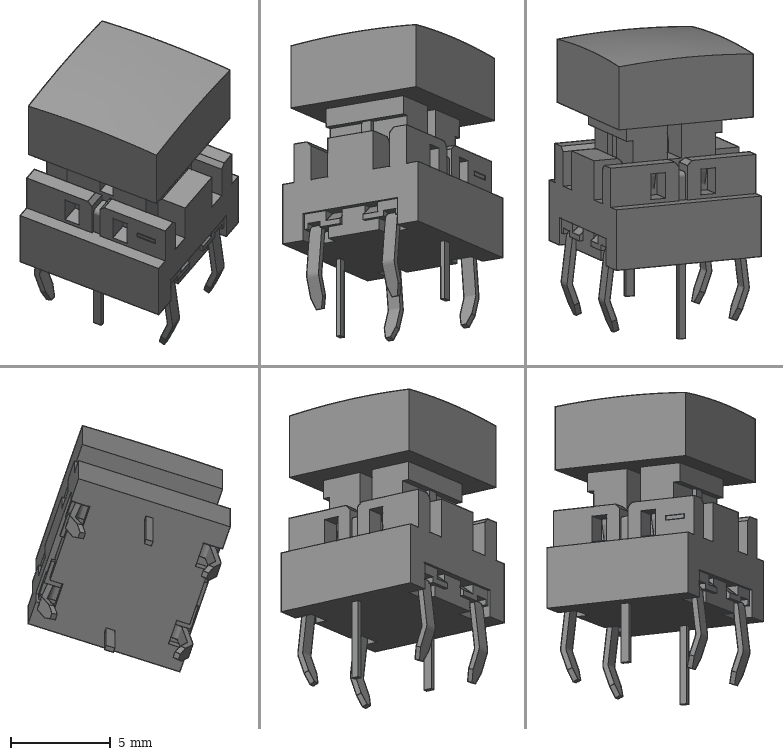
import cadquery as cq
import math

BASE_SIZE = 8.0
BASE_HALF = BASE_SIZE / 2
SEAM_Z = 1.4
DECK_Z = 3.1

WALL_TOP_Z = 5.1
WALL_INNER_Y = 2.33
WALL_OUTER_Y = 3.335
GUIDE_CHAMFER = 0.24
POST_WIDTH = 2.68
POST_INNER_X = 2.42

WINDOW_WIDTH = 0.82
WINDOW_CENTER_X = 1.38
WINDOW_BOTTOM_Z = 3.3
WINDOW_TOP_Z = 4.61
HOOK_WIDTH = 0.57
HOOK_CENTER_X = 1.405
HOOK_BOTTOM_Z = 3.6
HOOK_SHOULDER_Z = 4.31
HOOK_REACH = 0.19
BAR_LENGTH = 1.04
BAR_HEIGHT = 0.22
BAR_CENTER_X = 2.89
BAR_CENTER_Z = 4.11
BAR_DEPTH = 0.05

STEM_SIZE_X = 4.54
STEM_SIZE_Y = 4.56
STEM_COLLAR_SIZE_X = 5.27
STEM_COLLAR_Z = 6.15
STEM_RIB_SPAN = 4.98
STEM_RIB_WIDTH = 0.56
STEM_SLOT_WIDTH = 0.76
STEM_SLOT_FLOOR_Z = 5.03

CAP_SIZE = 7.4
CAP_HALF = CAP_SIZE / 2
CAP_BOTTOM_Z = 7.1
CAP_TOP_Z = 10.65
DOME_RISE = 0.16
DOME_RADIUS = (CAP_HALF ** 2 + DOME_RISE ** 2) / (2 * DOME_RISE)

LED_RADIUS = 1.7 / 2
LED_SPRING_Z = 5.51

LEAD_SLOT_WIDTH = 0.46
LEAD_OUTER_Y = 3.21
LEAD_THICKNESS = 0.24
LEAD_TOP_Z = 4.5
LEAD_UNDER_Z = LEAD_TOP_Z - LEAD_THICKNESS
FRONT_LEAD_WIDTH = 0.46
FRONT_LEAD_END_Z = -3.0
REAR_LEAD_WIDTH = 0.38
REAR_LEAD_END_Z = -4.0

RECESS_WIDTH = 5.56
PLATE_X = 3.87
PLATE_BOTTOM_Z = 0.6
LUG_X = 3.68
LUG_FOOT_WIDTH = 2.98
LUG_NECK_WIDTH = 1.36
CORNER_INNER_X = 3.0
RAMP_END_Y = 1.52
RAMP_BOTTOM_Z = 0.88
RAMP_DEPTH = 0.65

PIN_WIDTH = 0.71
PIN_CENTER_Y = 2.235
PIN_THICKNESS = 0.3
PIN_ROOT_X = 2.8
PIN_TOP_Z = 0.89
PIN_KNEE_X = BASE_HALF
PIN_KNEE_Z = -1.88
PIN_SPLAY = math.radians(7.2)
PIN_RETURN = math.radians(20.5)
PIN_END_Z = -3.52
PIN_TAPER_LENGTH = 0.62
PIN_TIP_WIDTH = 0.3
SHOULDER_BEND_RADIUS = 0.53
KNEE_BEND_RADIUS = 0.5


def block(x0, x1, y0, y1, z0, z1):
    """Axis-aligned box between two opposite corners."""
    box = cq.Workplane("XY").box(x1 - x0, y1 - y0, z1 - z0, centered=False)
    return box.translate((x0, y0, z0))


def centered_block(size_x, size_y, z0, z1):
    """Box centred on the Z axis."""
    return block(-size_x / 2, size_x / 2, -size_y / 2, size_y / 2, z0, z1)


def both_x(shape):
    """The shape together with its mirror image across the YZ plane."""
    return shape.union(shape.mirror("YZ"))


def both_y(shape):
    """The shape together with its mirror image across the XZ plane."""
    return shape.union(shape.mirror("XZ"))


def yz_prism(points, width):
    """Prism with a (y, z) outline, centred on x = 0."""
    return cq.Workplane("YZ").polyline(points).close().extrude(width / 2, both=True)


def xz_prism(points, width):
    """Prism with an (x, z) outline, centred on y = 0."""
    return cq.Workplane("XZ").polyline(points).close().extrude(width / 2, both=True)


def make_front_wall():
    wall = block(-BASE_HALF, BASE_HALF, -WALL_OUTER_Y, -WALL_INNER_Y, DECK_Z, WALL_TOP_Z)
    wall = wall.edges(">Y and >Z").chamfer(GUIDE_CHAMFER)

    half_slot = LEAD_SLOT_WIDTH / 2
    half_mouth = half_slot + GUIDE_CHAMFER
    mouth_z = WALL_TOP_Z - GUIDE_CHAMFER
    slot = xz_prism(
        [
            (-half_slot, DECK_Z),
            (half_slot, DECK_Z),
            (half_slot, mouth_z),
            (half_mouth, WALL_TOP_Z),
            (-half_mouth, WALL_TOP_Z),
            (-half_slot, mouth_z),
        ],
        BASE_SIZE,
    )
    window = block(
        WINDOW_CENTER_X - WINDOW_WIDTH / 2,
        WINDOW_CENTER_X + WINDOW_WIDTH / 2,
        -WALL_OUTER_Y,
        -WALL_INNER_Y,
        WINDOW_BOTTOM_Z,
        WINDOW_TOP_Z,
    )
    return wall.cut(slot).cut(both_x(window))


def make_polarity_bar():
    """Shallow groove in the front wall."""
    return block(
        BAR_CENTER_X - BAR_LENGTH / 2,
        BAR_CENTER_X + BAR_LENGTH / 2,
        -WALL_OUTER_Y,
        -WALL_OUTER_Y + BAR_DEPTH,
        BAR_CENTER_Z - BAR_HEIGHT / 2,
        BAR_CENTER_Z + BAR_HEIGHT / 2,
    )


def make_side_post():
    post = block(-BASE_HALF, -POST_INNER_X, -POST_WIDTH / 2, POST_WIDTH / 2, DECK_Z, WALL_TOP_Z)
    return post.edges(">X and >Z").chamfer(GUIDE_CHAMFER)


def make_base_plate():
    plate = centered_block(BASE_SIZE, BASE_SIZE, 0, SEAM_Z)
    half_recess = RECESS_WIDTH / 2
    recess = block(-BASE_HALF, -PLATE_X, -half_recess, half_recess, 0, SEAM_Z)

    corners = block(-BASE_HALF, -CORNER_INNER_X, -half_recess, half_recess, 0, PLATE_BOTTOM_Z)
    foot = block(-LUG_X, -CORNER_INNER_X, -LUG_FOOT_WIDTH / 2, LUG_FOOT_WIDTH / 2, 0, PLATE_BOTTOM_Z)
    neck = block(-BASE_HALF, -LUG_X, -LUG_NECK_WIDTH / 2, LUG_NECK_WIDTH / 2, 0, SEAM_Z)

    ramp_width = RAMP_END_Y - LUG_NECK_WIDTH / 2
    ramp = xz_prism(
        [(-PLATE_X, RAMP_BOTTOM_Z), (-PLATE_X, SEAM_Z), (RAMP_DEPTH - PLATE_X, SEAM_Z)],
        ramp_width,
    ).translate((0, RAMP_END_Y - ramp_width / 2, 0))

    pin_slot = block(
        -PLATE_X,
        -CORNER_INNER_X,
        PIN_CENTER_Y - PIN_WIDTH / 2,
        PIN_CENTER_Y + PIN_WIDTH / 2,
        PLATE_BOTTOM_Z,
        PIN_TOP_Z,
    )
    side_cut = recess.union(corners.cut(foot)).union(neck).union(both_y(ramp.union(pin_slot)))
    return plate.cut(both_x(side_cut))


def make_stem():
    stem = centered_block(STEM_SIZE_X, STEM_SIZE_Y, DECK_Z, STEM_COLLAR_Z)
    collar = centered_block(STEM_COLLAR_SIZE_X, STEM_SIZE_Y, STEM_COLLAR_Z, CAP_BOTTOM_Z)
    ribs = centered_block(STEM_RIB_SPAN, STEM_RIB_WIDTH, DECK_Z, STEM_COLLAR_Z)
    slot = centered_block(STEM_SLOT_WIDTH, STEM_SIZE_Y, STEM_SLOT_FLOOR_Z, CAP_BOTTOM_Z)

    face_y = -STEM_SIZE_Y / 2
    hook = yz_prism(
        [
            (face_y, HOOK_BOTTOM_Z),
            (face_y - HOOK_REACH, HOOK_SHOULDER_Z),
            (face_y - HOOK_REACH, WINDOW_TOP_Z),
            (face_y, WINDOW_TOP_Z),
        ],
        HOOK_WIDTH,
    ).translate((HOOK_CENTER_X, 0, 0))
    return stem.union(collar).union(ribs).cut(slot).union(both_y(both_x(hook)))


def make_cap():
    cap = centered_block(CAP_SIZE, CAP_SIZE, CAP_BOTTOM_Z, CAP_TOP_Z)
    dome = cq.Workplane("XY").sphere(DOME_RADIUS).translate((0, 0, CAP_TOP_Z - DOME_RADIUS))
    return cap.intersect(dome)


def make_led():
    """Domed LED standing on the floor of the stem slot."""
    body = cq.Workplane("XY").workplane(offset=STEM_SLOT_FLOOR_Z).circle(LED_RADIUS)
    body = body.extrude(LED_SPRING_Z - STEM_SLOT_FLOOR_Z)
    dome = cq.Workplane("XY").sphere(LED_RADIUS).translate((0, 0, LED_SPRING_Z))
    return body.union(dome)


def make_front_lead(width, end_z):
    """Flat lead that leaves the stem, bends over and runs straight down."""
    inner_y = LEAD_THICKNESS - LEAD_OUTER_Y
    stem_y = -STEM_SIZE_Y / 2
    lead = yz_prism(
        [
            (stem_y, LEAD_TOP_Z),
            (-LEAD_OUTER_Y, LEAD_TOP_Z),
            (-LEAD_OUTER_Y, end_z),
            (inner_y, end_z),
            (inner_y, LEAD_UNDER_Z),
            (stem_y, LEAD_UNDER_Z),
        ],
        width,
    )
    return lead.edges("<Y and >Z").fillet(LEAD_THICKNESS)


def make_pin():
    """Left terminal: out of the base, splayed leg, knee, tapered return leg."""
    tan_splay = math.tan(PIN_SPLAY)
    tan_return = math.tan(PIN_RETURN)
    under_z = PIN_TOP_Z - PIN_THICKNESS
    shoulder_x = tan_splay * (PIN_TOP_Z - PIN_KNEE_Z) - PIN_KNEE_X
    end_x = tan_return * (PIN_KNEE_Z - PIN_END_Z) - PIN_KNEE_X

    splay_offset = PIN_THICKNESS / math.cos(PIN_SPLAY)
    half_turn = (PIN_SPLAY + PIN_RETURN) / 2
    miter_length = PIN_THICKNESS / math.cos(half_turn)
    miter_angle = (PIN_RETURN - PIN_SPLAY) / 2
    inner_knee = (
        -PIN_KNEE_X + miter_length * math.cos(miter_angle),
        PIN_KNEE_Z + miter_length * math.sin(miter_angle),
    )
    inner_shoulder = (shoulder_x - tan_splay * PIN_THICKNESS + splay_offset, under_z)
    inner_end = (
        end_x + PIN_THICKNESS * math.cos(PIN_RETURN),
        PIN_END_Z + PIN_THICKNESS * math.sin(PIN_RETURN),
    )
    shoulder = (shoulder_x, PIN_TOP_Z)
    knee = (-PIN_KNEE_X, PIN_KNEE_Z)
    pin = xz_prism(
        [
            (-PIN_ROOT_X, PIN_TOP_Z),
            shoulder,
            knee,
            (end_x, PIN_END_Z),
            inner_end,
            inner_knee,
            inner_shoulder,
            (-PIN_ROOT_X, under_z),
        ],
        PIN_WIDTH,
    )
    bends = [
        (shoulder, SHOULDER_BEND_RADIUS),
        (inner_shoulder, SHOULDER_BEND_RADIUS - PIN_THICKNESS),
        (knee, KNEE_BEND_RADIUS),
        (inner_knee, KNEE_BEND_RADIUS - PIN_THICKNESS),
    ]
    for (x, z), radius in bends:
        pin = pin.edges(cq.NearestToPointSelector((x, 0, z))).fillet(radius)

    reach = 2 * BASE_SIZE
    tip = yz_prism(
        [
            (-PIN_WIDTH / 2, reach),
            (-PIN_WIDTH / 2, PIN_TAPER_LENGTH),
            (-PIN_TIP_WIDTH / 2, 0),
            (PIN_TIP_WIDTH / 2, 0),
            (PIN_WIDTH / 2, PIN_TAPER_LENGTH),
            (PIN_WIDTH / 2, reach),
        ],
        2 * reach,
    )
    tip = tip.rotate((0, 0, 0), (0, 1, 0), -math.degrees(PIN_RETURN))
    tip = tip.translate((end_x, 0, PIN_END_Z))
    return pin.intersect(tip).translate((0, PIN_CENTER_Y, 0))


housing = centered_block(BASE_SIZE, BASE_SIZE, SEAM_Z, DECK_Z)
upper_body = (
    housing.union(both_y(make_front_wall()).cut(make_polarity_bar()))
    .union(both_x(make_side_post()))
    .union(make_stem())
    .union(make_cap())
    .union(make_led())
)
lower_body = make_base_plate().union(both_x(both_y(make_pin())))
front_lead = make_front_lead(FRONT_LEAD_WIDTH, FRONT_LEAD_END_Z)
rear_lead = make_front_lead(REAR_LEAD_WIDTH, REAR_LEAD_END_Z).mirror("XZ")

result = upper_body.union(lower_body, clean=False)
result = result.union(front_lead, clean=False).union(rear_lead, clean=False)